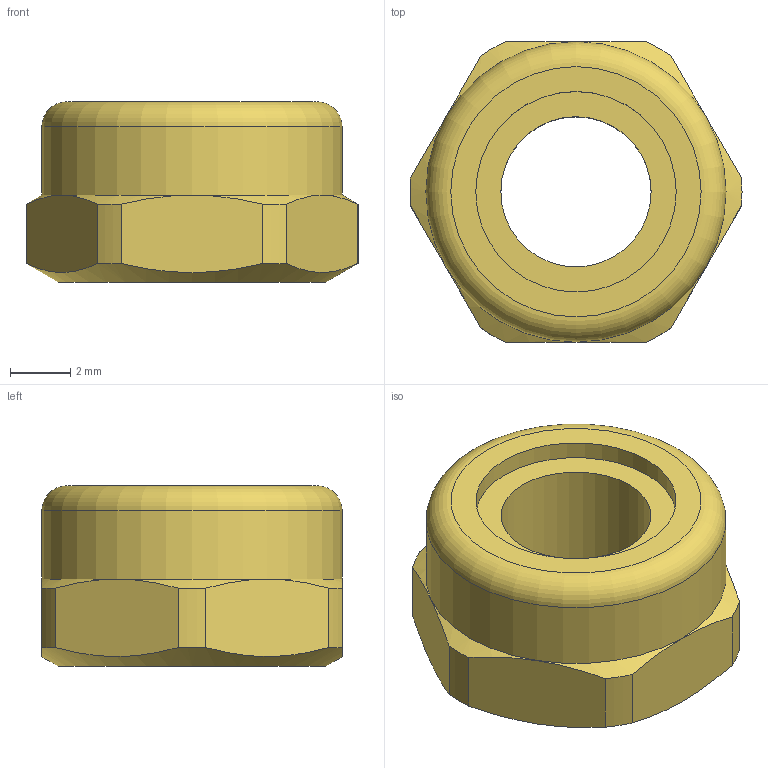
import cadquery as cq
import math

HEX_SIDES = 6
ACROSS_FLATS = 10.0
CORNER_DIAMETER = 11.05
CHAMFER_ANGLE = 30.0
TOTAL_HEIGHT = 6.0
HEX_HEIGHT = 2.9
LOWER_CHAMFER_HEIGHT = 0.62
COLLAR_DIAMETER = 9.99
BORE_DIAMETER = 5.0
RECESS_DIAMETER = 6.67
RECESS_DEPTH = 0.6

CORNER_RADIUS = CORNER_DIAMETER / 2
COLLAR_RADIUS = COLLAR_DIAMETER / 2
RIM_WIDTH = COLLAR_RADIUS - RECESS_DIAMETER / 2
COLLAR_ROUND = RIM_WIDTH / 2
CHAMFER_SLOPE = math.tan(math.radians(CHAMFER_ANGLE))
BASE_RADIUS = CORNER_RADIUS - LOWER_CHAMFER_HEIGHT / CHAMFER_SLOPE
UPPER_CHAMFER_HEIGHT = (CORNER_RADIUS - COLLAR_RADIUS) * CHAMFER_SLOPE
ACROSS_CORNERS = ACROSS_FLATS / math.cos(math.pi / HEX_SIDES)


def turned_blank():
    """Solid of revolution: chamfered base, collar and rounded top edge."""
    return (
        cq.Workplane("XZ")
        .lineTo(BASE_RADIUS, 0)
        .lineTo(CORNER_RADIUS, LOWER_CHAMFER_HEIGHT)
        .lineTo(CORNER_RADIUS, HEX_HEIGHT - UPPER_CHAMFER_HEIGHT)
        .lineTo(COLLAR_RADIUS, HEX_HEIGHT)
        .lineTo(COLLAR_RADIUS, TOTAL_HEIGHT - COLLAR_ROUND)
        .radiusArc((COLLAR_RADIUS - COLLAR_ROUND, TOTAL_HEIGHT), -COLLAR_ROUND)
        .lineTo(0, TOTAL_HEIGHT)
        .close()
        .revolve(360, (0, 0, 0), (0, 1, 0))
    )


def hex_prism():
    """Hexagonal prism with corners on the X axis and flats facing +Y and -Y."""
    return cq.Workplane("XY").polygon(HEX_SIDES, ACROSS_CORNERS).extrude(TOTAL_HEIGHT)


def stepped_bore():
    """Through bore with a wider, shallow recess at the top."""
    bore = cq.Workplane("XY").circle(BORE_DIAMETER / 2).extrude(TOTAL_HEIGHT)
    recess = (
        cq.Workplane("XY", origin=(0, 0, TOTAL_HEIGHT - RECESS_DEPTH))
        .circle(RECESS_DIAMETER / 2)
        .extrude(RECESS_DEPTH)
    )
    return bore.union(recess)


result = turned_blank().intersect(hex_prism()).cut(stepped_bore())